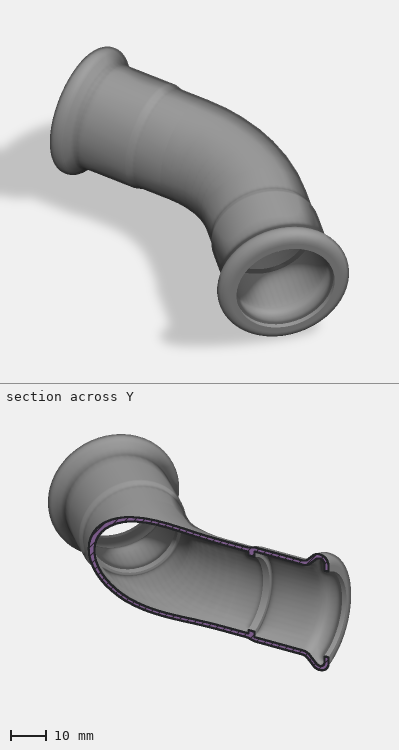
import cadquery as cq
import math


wall = 1.4
socket_radius = 15.5
tube_radius = 14.9
stop_bore_radius = 12.5
bend_radius = 41.8
bend_angle = 45

socket_start = 8.4
neck_start = 23.6
stop_start = 23.8
stop_end = 26.0
neck_end = 26.5
bend_start = 35.0

bead_radius = 2.9
bead_centre_radius = 15.9
root_radius = 2.1
neck_ease = 0.3

socket_bore = socket_radius - wall
tube_bore = tube_radius - wall
groove_radius = bead_radius - wall
bead_cone_angle = math.radians(45)
neck_slope = math.atan((socket_radius - tube_radius) / (neck_end - neck_start - 2 * neck_ease))
ease_along = neck_ease * math.cos(neck_slope)
ease_drop = neck_ease * math.sin(neck_slope)


def bead_point(radius, angle):
    """Point on a circle about the bead centre; zero angle points inward along the axis."""
    return (
        bead_radius + radius * math.cos(angle),
        bead_centre_radius + radius * math.sin(angle),
    )


def root_point(radius, angle):
    """Point on a circle about the root fillet centre; zero angle is its socket end."""
    return (
        socket_start - radius * math.sin(angle),
        socket_radius + root_radius - radius * math.cos(angle),
    )


def socket_end():
    """Hollow socket with bead, seal groove, neck and stop ring, revolved about X."""
    groove_root_radius = root_radius + wall
    mid_arc = math.radians(112.5)
    profile = (
        cq.Workplane("XY")
        .moveTo(0, socket_bore)
        .lineTo(0, bead_centre_radius)
        .threePointArc(bead_point(bead_radius, mid_arc), bead_point(bead_radius, bead_cone_angle))
        .lineTo(*root_point(root_radius, bead_cone_angle))
        .threePointArc(root_point(root_radius, bead_cone_angle / 2), root_point(root_radius, 0))
        .lineTo(neck_start, socket_radius)
        .tangentArcPoint(
            (neck_start + neck_ease + ease_along, socket_radius - ease_drop), relative=False
        )
        .lineTo(neck_end - neck_ease - ease_along, tube_radius + ease_drop)
        .tangentArcPoint((neck_end, tube_radius), relative=False)
        .lineTo(bend_start, tube_radius)
        .lineTo(bend_start, tube_bore)
        .lineTo(stop_end, tube_bore)
        .lineTo(stop_end, stop_bore_radius)
        .lineTo(stop_start, stop_bore_radius)
        .lineTo(stop_start, socket_bore)
        .lineTo(*root_point(groove_root_radius, 0))
        .threePointArc(
            root_point(groove_root_radius, bead_cone_angle / 2),
            root_point(groove_root_radius, bead_cone_angle),
        )
        .lineTo(*bead_point(groove_radius, bead_cone_angle))
        .threePointArc(bead_point(groove_radius, mid_arc), bead_point(groove_radius, math.pi))
        .lineTo(wall, socket_bore)
        .close()
    )
    return profile.revolve(360, (0, 0, 0), (1, 0, 0))


def bent_tube():
    """Tube swept clockwise about a vertical axis on the -Y side of the inlet."""
    return (
        cq.Workplane("YZ", origin=(bend_start, 0, 0))
        .circle(tube_radius)
        .circle(tube_bore)
        .revolve(bend_angle, (-bend_radius, 0, 0), (-bend_radius, -1, 0))
    )


inlet = socket_end()

outlet = (
    inlet.mirror("YZ", (bend_start, 0, 0))
    .rotate((bend_start, -bend_radius, 0), (bend_start, -bend_radius, 1), -bend_angle)
)

result = inlet.union(bent_tube()).union(outlet)